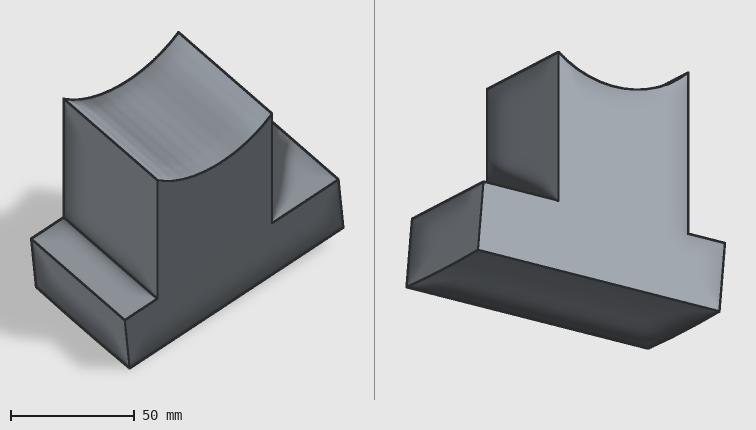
import cadquery as cq
import math

width = 60.0
overall_length = 114.2
overall_height = 99.3
tilt = 5.0
base_thickness = 29.9
underside_bulge = 0.6
post_length = 60.0
post_setback = 17.0
saddle_depth = 11.1

tilt_sine = math.sin(math.radians(tilt))
tilt_cosine = math.cos(math.radians(tilt))
base_length = (overall_length - base_thickness * tilt_sine) / tilt_cosine
post_front = post_setback - base_thickness * tilt_sine
post_back = post_front + post_length
post_middle = (post_front + post_back) / 2
post_bottom = base_thickness / 2


def make_base():
    """Slab with a slightly convex underside, tilted about its lowest front edge."""
    half_width = width / 2
    slab = (
        cq.Workplane("XZ")
        .moveTo(-half_width, underside_bulge)
        .threePointArc((0, 0), (half_width, underside_bulge))
        .lineTo(half_width, base_thickness)
        .lineTo(-half_width, base_thickness)
        .close()
        .extrude(-base_length)
    )
    return slab.rotate((0, 0, 0), (1, 0, 0), tilt)


def make_post():
    """Upright block with a round saddle across its top, running along X."""
    return (
        cq.Workplane("YZ")
        .moveTo(post_front, post_bottom)
        .lineTo(post_back, post_bottom)
        .lineTo(post_back, overall_height)
        .threePointArc((post_middle, overall_height - saddle_depth), (post_front, overall_height))
        .close()
        .extrude(width / 2, both=True)
    )


result = make_base().union(make_post())